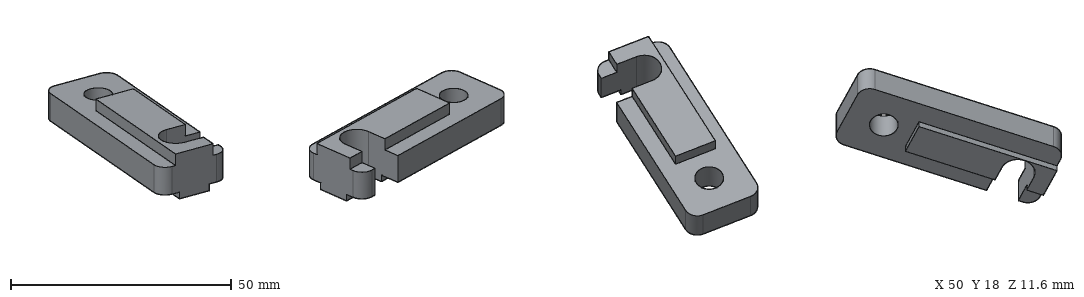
import cadquery as cq

length = 50
width = 18
plate_thickness = 7
corner_radius = 3

pad_start = 16
pad_length = length - pad_start
top_pad_width = 10.1
top_pad_height = 2.9
bottom_pad_width = 8
bottom_pad_height = 1.7

hole_diameter = 6.5
hole_x = 9
slot_width = 7.8
slot_x = 42
total_height = bottom_pad_height + plate_thickness + top_pad_height


def pad(pad_width, height, base_z):
    """Rectangular pad reaching the right end of the plate."""
    return (
        cq.Workplane("XY")
        .box(pad_length, pad_width, height, centered=(False, True, False))
        .translate((pad_start, 0, base_z))
    )


def through_cylinder(x, diameter):
    """Vertical cutter on the plate centreline."""
    return (
        cq.Workplane("XY", origin=(x, 0, -bottom_pad_height))
        .circle(diameter / 2)
        .extrude(total_height)
    )


def slot_cutter():
    """Slot with a round inner end, open on the +Y side."""
    straight = (
        cq.Workplane("XY")
        .box(slot_width, width / 2, total_height, centered=(True, False, False))
        .translate((slot_x, 0, -bottom_pad_height))
    )
    return straight.union(through_cylinder(slot_x, slot_width))


plate = (
    cq.Workplane("XY")
    .box(length, width, plate_thickness, centered=(False, True, False))
    .edges("|Z")
    .fillet(corner_radius)
)

result = (
    plate
    .union(pad(top_pad_width, top_pad_height, plate_thickness))
    .union(pad(bottom_pad_width, bottom_pad_height, -bottom_pad_height))
    .cut(through_cylinder(hole_x, hole_diameter))
    .cut(slot_cutter())
)